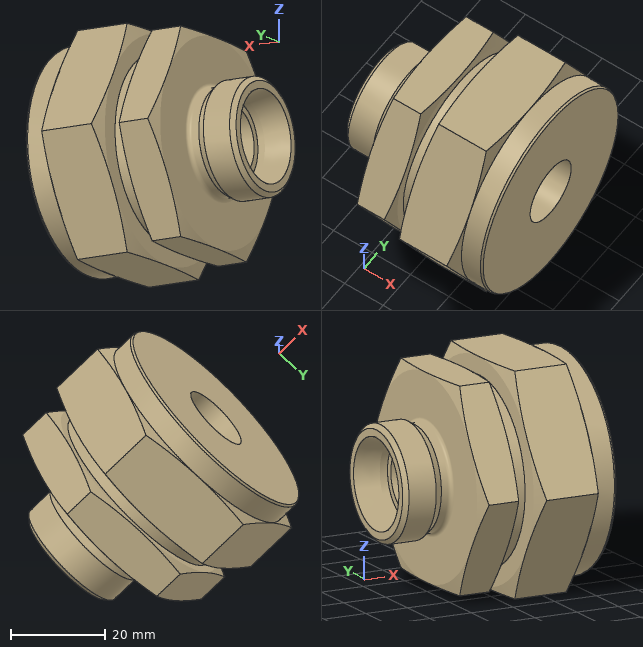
import cadquery as cq
import math

thread_end_x = 7.5
undercut_x = 9.35
body_hex_start_x = 12.0
body_hex_end_x = 21.0
nut_hex_start_x = 24.55
nut_hex_end_x = 38.95
total_length = 44.4

thread_radius = 13.0
undercut_radius = 11.85
thread_chamfer_depth = 1.05
thread_chamfer_length = 1.0
undercut_fillet = 1.0

corner_to_corner = 57.75
flats_per_corners = math.cos(math.radians(30))
nut_flats = corner_to_corner * flats_per_corners
body_flats = 46.0
hex_chamfer_angle = 15.0

neck_radius = 21.0
collar_radius = 24.95
collar_chamfer_length = 0.5
collar_chamfer_depth = 0.3

cone_half_angle = 12.0
cone_mouth_radius = 10.2
tube_radius = 9.0
seat_depth = 7.5
bore_radius = 7.5
cone_depth = (cone_mouth_radius - tube_radius) / math.tan(math.radians(cone_half_angle))


def revolve_about_x(outline):
    """Revolve a closed XY outline (Y is the radius) around the X axis."""
    return outline.revolve(360, (0, 0, 0), (1, 0, 0))


def chamfered_hex(start_x, end_x, flats):
    """Hexagonal prism along X with its corners coned down to the flats' inscribed circle."""
    corner_radius = flats / 2 / flats_per_corners
    length = end_x - start_x
    prism = cq.Workplane("YZ", origin=(start_x, 0, 0)).polygon(6, 2 * corner_radius).extrude(length)
    corner_chamfer = (corner_radius - flats / 2) * math.tan(math.radians(hex_chamfer_angle))
    envelope = revolve_about_x(
        cq.Workplane("XY").polyline([
            (start_x, 0),
            (start_x, flats / 2),
            (start_x + corner_chamfer, corner_radius),
            (end_x - corner_chamfer, corner_radius),
            (end_x, flats / 2),
            (end_x, 0),
        ]).close()
    )
    return prism.intersect(envelope)


def threaded_spigot():
    """Plain thread cylinder with a lead chamfer, undercut and fillet into the body hexagon."""
    return revolve_about_x(
        cq.Workplane("XY")
        .moveTo(0, 0)
        .lineTo(0, thread_radius - thread_chamfer_depth)
        .lineTo(thread_chamfer_length, thread_radius)
        .lineTo(thread_end_x, thread_radius)
        .lineTo(undercut_x, undercut_radius)
        .lineTo(body_hex_start_x - undercut_fillet, undercut_radius)
        .radiusArc((body_hex_start_x, undercut_radius + undercut_fillet), -undercut_fillet)
        .lineTo(body_hex_start_x, 0)
        .close()
    )


def neck():
    """Cylinder joining the body hexagon to the nut hexagon."""
    length = nut_hex_start_x - body_hex_end_x
    return cq.Workplane("YZ", origin=(body_hex_end_x, 0, 0)).circle(neck_radius).extrude(length)


def collar():
    """Round collar behind the nut hexagon, chamfered at its free end."""
    return revolve_about_x(
        cq.Workplane("XY").polyline([
            (nut_hex_end_x, 0),
            (nut_hex_end_x, collar_radius),
            (total_length - collar_chamfer_length, collar_radius),
            (total_length, collar_radius - collar_chamfer_depth),
            (total_length, 0),
        ]).close()
    )


def stepped_bore():
    """Conical mouth, cylindrical tube seat and through hole."""
    return revolve_about_x(
        cq.Workplane("XY").polyline([
            (0, 0),
            (0, cone_mouth_radius),
            (cone_depth, tube_radius),
            (seat_depth, tube_radius),
            (seat_depth, bore_radius),
            (total_length, bore_radius),
            (total_length, 0),
        ]).close()
    )


result = (
    threaded_spigot()
    .union(chamfered_hex(body_hex_start_x, body_hex_end_x, body_flats))
    .union(neck())
    .union(chamfered_hex(nut_hex_start_x, nut_hex_end_x, nut_flats))
    .union(collar())
    .cut(stepped_bore())
)